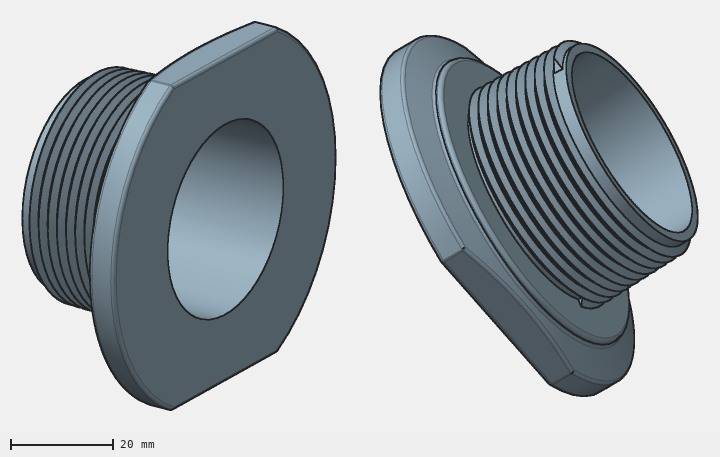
import cadquery as cq
import math

length = 33.02
flange_diameter = 77.58
width_across_flats = 68.58
bore_diameter = 40.13

shoulder_diameter = 63.5
shoulder_start = 23.1
shoulder_edge_fillet = 0.9
valley_fillet = 0.7
cone_start = 24.8
rim_start = 27.25
flange_edge_fillet = 0.762

inch = 25.4
threads_per_inch = 11.5
pitch = inch / threads_per_inch
flank_angle = math.radians(30)
radius_taper = 1 / 32
tip_radius = 22.0
thread_height = 0.75 * pitch
crest_width = 0.073
root_overlap = 0.12
base_width = crest_width + 2 * (thread_height + root_overlap) * math.tan(flank_angle)
first_crest = 1.8
run_in_height = 3.4
thread_run = shoulder_start - first_crest


def cone_radius(x):
    """Thread root radius at the axial position x."""
    return tip_radius + x * radius_taper


def make_body():
    """Tapered pipe, shoulder and coned flange as one revolved blank."""
    body = (
        cq.Workplane("XY")
        .lineTo(0, cone_radius(0))
        .lineTo(shoulder_start, cone_radius(shoulder_start))
        .lineTo(shoulder_start, shoulder_diameter / 2 - shoulder_edge_fillet)
        .radiusArc(
            (shoulder_start + shoulder_edge_fillet, shoulder_diameter / 2),
            shoulder_edge_fillet,
        )
        .lineTo(cone_start, shoulder_diameter / 2)
        .lineTo(rim_start, flange_diameter / 2)
        .lineTo(length, flange_diameter / 2)
        .lineTo(length, 0)
        .close()
        .revolve(360, (0, 0, 0), (1, 0, 0))
    )
    valley = cq.selectors.BoxSelector(
        (cone_start - valley_fillet / 2, -shoulder_diameter, -shoulder_diameter),
        (cone_start + valley_fillet / 2, shoulder_diameter, shoulder_diameter),
    )
    body = body.edges(valley).edges("%CIRCLE").fillet(valley_fillet)
    return body.rotate((0, 0, 0), (1, 0, 0), 180)


def cut_flats(body):
    """Trim the flange to two parallel flats facing +Z and -Z."""
    slab = cq.Workplane("XY").box(
        length, flange_diameter, width_across_flats, centered=(False, True, True)
    )
    return body.intersect(slab)


def round_flange_edges(body):
    """Round every edge of the rim and flats, corners included."""
    rim_box = cq.selectors.BoxSelector(
        (cone_start + flange_edge_fillet, -flange_diameter, -flange_diameter),
        (length + flange_edge_fillet, flange_diameter, flange_diameter),
    )
    return body.edges(rim_box).fillet(flange_edge_fillet)


def make_thread():
    """Right-handed V ridge that starts on the +Y side and climbs the tapered pipe."""
    helix = cq.Wire.makeHelix(
        pitch,
        thread_run,
        cone_radius(first_crest),
        center=cq.Vector(first_crest, 0, 0),
        dir=cq.Vector(1, 0, 0),
        angle=math.degrees(math.atan(radius_taper)),
    )
    start = helix.startPoint()
    radial = cq.Vector(0, start.y, start.z).normalized()
    section = cq.Plane(origin=start, xDir=(1, 0, 0), normal=radial.cross(cq.Vector(-1, 0, 0)))
    ridge = (
        cq.Workplane(section)
        .moveTo(-base_width / 2, -root_overlap)
        .lineTo(-crest_width / 2, thread_height)
        .lineTo(crest_width / 2, thread_height)
        .lineTo(base_width / 2, -root_overlap)
        .close()
    )
    ridge = ridge.sweep(cq.Workplane(helix), isFrenet=True)
    ridge = ridge.rotate((0, 0, 0), (1, 0, 0), -math.degrees(math.atan2(start.z, start.y)))
    return ridge.cut(make_run_in())


def make_run_in():
    """Wedge that ramps the thread start from the root up to the crest."""
    root = cone_radius(first_crest)
    crest = root + thread_height
    clear = crest + thread_height
    wedge = (
        cq.Workplane("YZ")
        .polyline(
            [
                (root - root_overlap, -thread_height),
                (root - root_overlap, 0),
                (crest, run_in_height),
                (clear, run_in_height),
                (clear, -thread_height),
            ]
        )
        .close()
        .extrude(first_crest + pitch / 2)
    )
    return wedge


def cut_bore(body):
    """Open the straight through bore."""
    bore = cq.Workplane("YZ").circle(bore_diameter / 2).extrude(length)
    return body.cut(bore)


blank = round_flange_edges(cut_flats(make_body()))
result = cut_bore(blank.union(make_thread()))